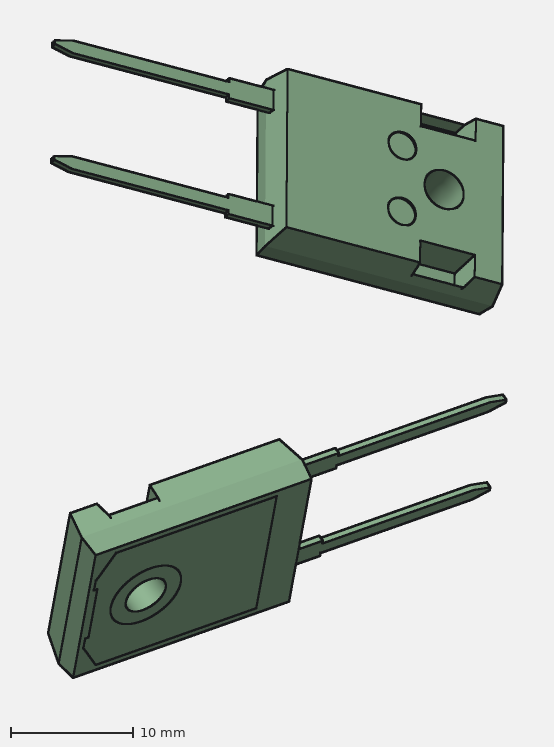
import cadquery as cq


TURN_ABOUT_Z = 36.85
TILT_ABOUT_Y = 32.9

BODY_LENGTH = 20.95
BODY_WIDTH = 15.8
TOP_HEIGHT = 2.97
BOTTOM_DEPTH = 1.98
TOP_SIDE_INSET = 0.4
TOP_LEAD_END_INSET = 0.42
TOP_FAR_END_INSET = 0.65
BOTTOM_INSET = 0.2

HOLE_X = 14.9
HOLE_TOP_DIAMETER = 3.6
HOLE_BOTTOM_DIAMETER = 3.8
HOLE_WALL_DIAMETER = 6.65
MARK_X = 11.05
MARK_SPACING = 6.23
MARK_DIAMETER = 2.55
MARK_DEPTH = 0.15

NOTCH_X_START = 13.05
NOTCH_X_END = 17.45
NOTCH_INNER_Y = 5.75
NOTCH_OUTER_Y = 7.57
NOTCH_FLARE = 0.32

PLATE_START_X = 3.45
PLATE_WIDTH = 14.0
PLATE_SIDE_END_X = 18.7
PLATE_EAR_X = 20.25
PLATE_EAR_START_X = 20.03
PLATE_EAR_OUTER_Y = 4.55
PLATE_EAR_ROUND_Y = 4.2
PLATE_EAR_INNER_Y = 3.0
PLATE_END_X = 19.92

LEAD_PITCH = 10.97
LEAD_BOTTOM = 0.42
LEAD_THICKNESS = 0.6
LEAD_ROOT_WIDTH = 1.9
LEAD_WIDTH = 1.2
LEAD_TIP_WIDTH = 0.35
LEAD_EMBEDDED_LENGTH = 2.83
LEAD_SHOULDER_X = -3.93
LEAD_TAPER_X = -18.33
LEAD_TIP_X = -19.95


def tapered_block(z_start, z_end, start, end):
    """Loft between two rectangles, each given as (x_min, x_max, y_min, y_max)."""

    def center(rectangle):
        x_min, x_max, y_min, y_max = rectangle
        return (x_min + x_max) / 2, (y_min + y_max) / 2

    def size(rectangle):
        x_min, x_max, y_min, y_max = rectangle
        return x_max - x_min, y_max - y_min

    return (
        cq.Workplane("XY", origin=(0, 0, z_start))
        .pushPoints([center(start)])
        .rect(*size(start))
        .workplane(offset=z_end - z_start)
        .pushPoints([center(end)])
        .rect(*size(end))
        .loft(combine=True)
    )


def body_rectangle(lead_end_inset, far_end_inset, side_inset):
    half_width = BODY_WIDTH / 2 - side_inset
    return lead_end_inset, BODY_LENGTH - far_end_inset, -half_width, half_width


def moulded_block():
    """Both drafted halves of the housing, widest at the parting plane."""
    parting = body_rectangle(0, 0, 0)
    top = body_rectangle(TOP_LEAD_END_INSET, TOP_FAR_END_INSET, TOP_SIDE_INSET)
    bottom = body_rectangle(BOTTOM_INSET, BOTTOM_INSET, BOTTOM_INSET)
    upper_half = tapered_block(0, TOP_HEIGHT, parting, top)
    lower_half = tapered_block(0, -BOTTOM_DEPTH, parting, bottom)
    return upper_half.union(lower_half)


def notch():
    """Pocket on the +y side; its flared outer wall breaks out through the housing side."""
    floor = (NOTCH_X_START, NOTCH_X_END, NOTCH_INNER_Y, NOTCH_OUTER_Y)
    mouth = (
        NOTCH_X_START - NOTCH_FLARE,
        NOTCH_X_END + NOTCH_FLARE,
        NOTCH_INNER_Y - NOTCH_FLARE,
        NOTCH_OUTER_Y + NOTCH_FLARE,
    )
    return tapered_block(0, TOP_HEIGHT, floor, mouth)


def ejector_marks():
    return (
        cq.Workplane("XY", origin=(0, 0, TOP_HEIGHT - MARK_DEPTH))
        .pushPoints([(MARK_X, -MARK_SPACING / 2), (MARK_X, MARK_SPACING / 2)])
        .circle(MARK_DIAMETER / 2)
        .extrude(MARK_DEPTH)
    )


def screw_hole():
    """Through hole that widens slightly towards the underside."""
    return (
        cq.Workplane("XY", origin=(HOLE_X, 0, -BOTTOM_DEPTH))
        .circle(HOLE_BOTTOM_DIAMETER / 2)
        .workplane(offset=BOTTOM_DEPTH + TOP_HEIGHT)
        .circle(HOLE_TOP_DIAMETER / 2)
        .loft(combine=True)
    )


def make_heat_plate():
    """Plate flush with the underside, with a clearance hole that the housing fills."""
    half_width = PLATE_WIDTH / 2
    outline = (
        cq.Workplane("XY", origin=(0, 0, -BOTTOM_DEPTH))
        .moveTo(PLATE_START_X, 0)
        .lineTo(PLATE_START_X, half_width)
        .lineTo(PLATE_SIDE_END_X, half_width)
        .lineTo(PLATE_EAR_START_X, PLATE_EAR_OUTER_Y)
        .lineTo(PLATE_EAR_X, PLATE_EAR_ROUND_Y)
        .lineTo(PLATE_EAR_X, PLATE_EAR_INNER_Y)
        .lineTo(PLATE_END_X, PLATE_EAR_INNER_Y)
        .lineTo(PLATE_END_X, 0)
        .mirrorX()
    )
    clearance = (
        cq.Workplane("XY", origin=(HOLE_X, 0, -BOTTOM_DEPTH))
        .circle(HOLE_WALL_DIAMETER / 2)
        .extrude(BOTTOM_DEPTH)
    )
    return outline.extrude(BOTTOM_DEPTH).cut(clearance)


def make_lead(y):
    """Flat lead with a wide root in the housing, a narrow shank and a tapered tip."""
    return (
        cq.Workplane("XY", origin=(0, y, LEAD_BOTTOM))
        .moveTo(LEAD_EMBEDDED_LENGTH, 0)
        .lineTo(LEAD_EMBEDDED_LENGTH, LEAD_ROOT_WIDTH / 2)
        .lineTo(LEAD_SHOULDER_X, LEAD_ROOT_WIDTH / 2)
        .lineTo(LEAD_SHOULDER_X, LEAD_WIDTH / 2)
        .lineTo(LEAD_TAPER_X, LEAD_WIDTH / 2)
        .lineTo(LEAD_TIP_X, LEAD_TIP_WIDTH / 2)
        .lineTo(LEAD_TIP_X, 0)
        .mirrorX()
        .extrude(LEAD_THICKNESS)
    )


def make_housing(heat_plate, leads):
    """Moulded housing with seats for the plate and the leads."""
    housing = moulded_block()
    housing = housing.cut(notch()).cut(notch().mirror("XZ"))
    housing = housing.cut(ejector_marks()).cut(screw_hole())
    for insert in [heat_plate, *leads]:
        housing = housing.cut(insert)
    return housing


def placed(body):
    """Solid of a body, turned from the local frame to its final direction."""
    turned = body.rotate((0, 0, 0), (0, 0, 1), TURN_ABOUT_Z)
    return turned.rotate((0, 0, 0), (0, 1, 0), TILT_ABOUT_Y).val()


heat_plate = make_heat_plate()
leads = [make_lead(side * LEAD_PITCH / 2) for side in (-1, 1)]
housing = make_housing(heat_plate, leads)

result = cq.Compound.makeCompound([placed(body) for body in [housing, heat_plate, *leads]])